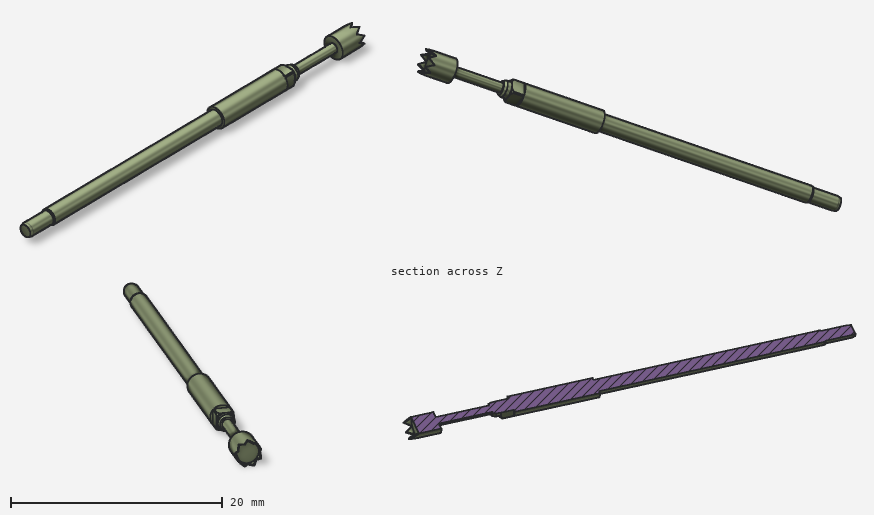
import cadquery as cq
import math

total_length = 44.3
tip_y = total_length / 2

head_diameter = 2.5
head_length = 3.0
tooth_count = 8
tooth_depth = 0.75
bore_diameter = 2.2
bore_depth = tooth_depth

stem_diameter = 1.0

nose_start = 8.3
nose_length = 0.3
nose_front_diameter = 1.4
neck_diameter = 1.7
flats_start = 9.05
flats_end = 10.3
flats_width = 1.73
flats_front_chamfer = 0.18
sleeve_diameter = 2.3
sleeve_end = 18.8

barrel_diameter = 1.73
barrel_chamfer_length = 0.15
barrel_chamfer_depth = 0.05
tail_diameter = 1.5
tail_length = 3.0
tail_bevel_length = 0.3
tail_bevel_depth = 0.1


def axial_cylinder(diameter, start, end):
    """Cylinder on the probe axis between two distances back from the tooth tips."""
    return (
        cq.Workplane("XZ", origin=(0, tip_y - start, 0))
        .circle(diameter / 2)
        .extrude(end - start)
    )


def make_crown():
    """Head with a blind bore, cut into pointed teeth by radial V grooves."""
    crown = axial_cylinder(head_diameter, 0, head_length)
    bore = axial_cylinder(bore_diameter, 0, bore_depth)
    crown = crown.cut(bore)
    pitch_angle = 360 / tooth_count
    half_width = head_diameter / 2 * math.sin(math.radians(pitch_angle / 2))
    groove = (
        cq.Workplane("YZ")
        .moveTo(tip_y - tooth_depth, 0)
        .lineTo(tip_y, half_width)
        .lineTo(tip_y, -half_width)
        .close()
        .extrude(head_diameter)
    )
    for index in range(tooth_count):
        crown = crown.cut(groove.rotate((0, 0, 0), (0, 1, 0), index * pitch_angle))
    return crown


def make_nose():
    """Tapered front end of the barrel and the short round neck behind it."""
    nose = axial_cylinder(neck_diameter, nose_start, flats_start)
    taper = (neck_diameter - nose_front_diameter) / 2
    return nose.faces(">Y").chamfer(nose_length, taper)


def make_sleeve():
    """Press-fit sleeve with a four-sided wrench section at its front."""
    wrench_section = axial_cylinder(sleeve_diameter, flats_start, flats_end)
    wrench_section = wrench_section.faces(">Y").chamfer(flats_front_chamfer)
    flats_length = flats_end - flats_start
    square = cq.Workplane("XY").box(flats_width, flats_length, flats_width).translate(
        (0, tip_y - (flats_start + flats_end) / 2, 0)
    )
    return wrench_section.intersect(square).union(
        axial_cylinder(sleeve_diameter, flats_end, sleeve_end)
    )


def make_tail():
    """Rear terminal with a slim bevel at its end."""
    tail = axial_cylinder(tail_diameter, total_length - tail_length, total_length)
    return tail.faces("<Y").chamfer(tail_bevel_length, tail_bevel_depth)


barrel = axial_cylinder(barrel_diameter, sleeve_end, total_length - tail_length)
barrel = barrel.faces("<Y").chamfer(barrel_chamfer_length, barrel_chamfer_depth)

result = (
    make_crown()
    .union(axial_cylinder(stem_diameter, head_length, nose_start))
    .union(make_nose())
    .union(make_sleeve())
    .union(barrel)
    .union(make_tail())
)